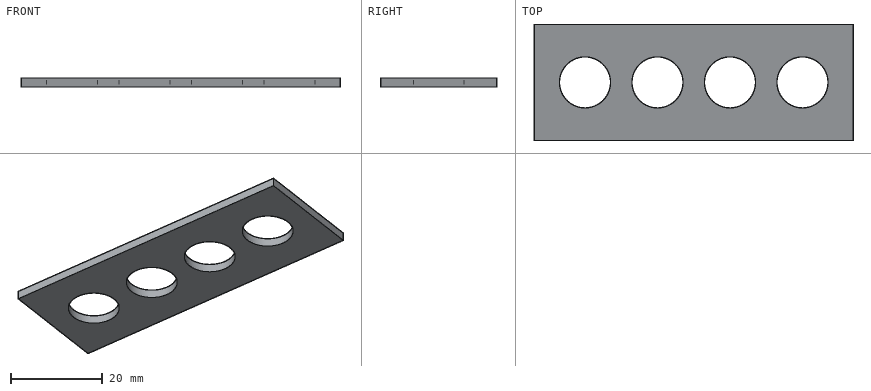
import cadquery as cq

length = 69.85
width = 25.4
thickness = 2.0

hole_count = 4
hole_diameter = 11.1
hole_pitch = 15.85

plate = cq.Workplane("XY").box(length, width, thickness)

result = (
    plate.faces(">Z")
    .workplane()
    .rarray(hole_pitch, width, hole_count, 1)
    .hole(hole_diameter)
)